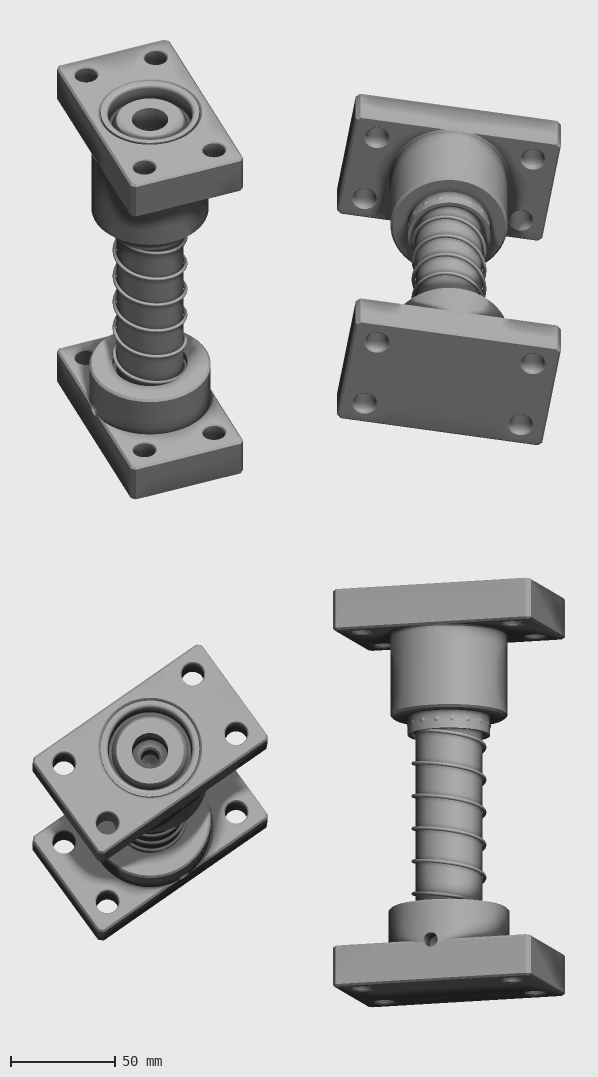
import cadquery as cq
import math

TOTAL_HEIGHT = 194.3
TURN_ANGLE = -35.4

PLATE_LENGTH = 99.9
PLATE_WIDTH = 58.1
PLATE_THICKNESS = 20.0
CORNER_CHAMFER = 2.0
EDGE_CHAMFER = 1.0
BOLT_SPACING_LONG = 76.0
BOLT_SPACING_SHORT = 36.0
BOLT_HOLE_RADIUS = 5.5
BOLT_HOLE_CHAMFER = 0.5
UPPER_PLATE_BOTTOM = TOTAL_HEIGHT - PLATE_THICKNESS

PILLAR_RADIUS = 16.1
PILLAR_TOP = 189.7
HEAD_RADIUS = 18.5
HEAD_HEIGHT = 3.9
HEAD_BOTTOM = PILLAR_TOP - HEAD_HEIGHT
COUNTERBORE_RADIUS = 8.7
COUNTERBORE_DEPTH = 15.5
DRILL_RADIUS = 4.3
DRILL_DEPTH = 11.7
DRILL_MOUTH_CHAMFER = 1.0
DRILL_POINT_ANGLE = 118.0

COLLAR_RADIUS = 29.1
COLLAR_HEIGHT = 19.8
COLLAR_CHAMFER = 1.0
COLLAR_TOP = PLATE_THICKNESS + COLLAR_HEIGHT
SEAT_DEPTH = 1.4
SPRING_RECESS_RADIUS = 18.0
SPRING_RECESS_DEPTH = 3.9
SPRING_RECESS_FLOOR = COLLAR_TOP - SPRING_RECESS_DEPTH

SIDE_HOLE_RADIUS = 3.5
SIDE_HOLE_DEPTH = 9.7

BUSHING_RADIUS = 28.2
BUSHING_BOTTOM = 133.9
BUSHING_BORE_RADIUS = 20.2
BUSHING_CHAMFER = 1.2
SPIGOT_RADIUS = 23.7
SPIGOT_SEAT_CHAMFER = SEAT_DEPTH
BORE_ROUNDING = 1.7
SHOULDER_FLARE = 0.8

CAGE_RADIUS = 19.8
CAGE_BOTTOM = 125.1
SPRING_POCKET_DEPTH = 2.0
SPRING_POCKET_ROOF = CAGE_BOTTOM + SPRING_POCKET_DEPTH
BALL_ROW_HEIGHT = 129.8
BALL_COUNT = 16
BALL_RADIUS = (BUSHING_BORE_RADIUS - PILLAR_RADIUS) / 2
BALL_PITCH_RADIUS = PILLAR_RADIUS + BALL_RADIUS

WIRE_RADIUS = 0.87
COIL_RADIUS = 17.1
SPRING_END_GAP = 0.2
COIL_PITCH = 16.0
COIL_LAST_CROSSING = 118.5


def disc(radius, bottom, top):
    return cq.Workplane("XY").workplane(offset=bottom).circle(radius).extrude(top - bottom)


def revolved(points):
    """Revolve a closed (radius, height) outline about the vertical axis."""
    return cq.Workplane("XZ").polyline(points).close().revolve(360, (0, 0), (0, 1))


def drill_point_length(radius):
    return radius / math.tan(math.radians(DRILL_POINT_ANGLE / 2))


def turned(body):
    return body.rotate((0, 0, 0), (0, 0, 1), TURN_ANGLE)


def mounting_plate(bottom):
    """Rectangular plate with chamfered edges and four chamfered bolt holes."""
    bolt_holes = (
        cq.Workplane("XY")
        .rect(BOLT_SPACING_LONG, BOLT_SPACING_SHORT, forConstruction=True)
        .vertices()
        .circle(BOLT_HOLE_RADIUS)
        .extrude(PLATE_THICKNESS)
    )
    plate = (
        cq.Workplane("XY")
        .rect(PLATE_LENGTH, PLATE_WIDTH)
        .extrude(PLATE_THICKNESS)
        .edges("|Z")
        .chamfer(CORNER_CHAMFER)
        .faces("<Z or >Z")
        .chamfer(EDGE_CHAMFER)
        .cut(bolt_holes)
        .edges("%CIRCLE")
        .chamfer(BOLT_HOLE_CHAMFER)
    )
    return plate.translate((0, 0, bottom))


def side_hole():
    """Drilled hole with a pointed end, running inward from the long side of the lower plate."""
    mouth = -COLLAR_RADIUS - SEAT_DEPTH
    floor = -PLATE_WIDTH / 2 + SIDE_HOLE_DEPTH
    tip = floor + drill_point_length(SIDE_HOLE_RADIUS)
    return (
        cq.Workplane("XY")
        .polyline([(0, mouth), (SIDE_HOLE_RADIUS, mouth), (SIDE_HOLE_RADIUS, floor), (0, tip)])
        .close()
        .revolve(360, (0, 0), (0, 1))
        .translate((0, 0, PLATE_THICKNESS))
    )


def make_lower_plate():
    """Plate with a shallow conical seat around the collar."""
    seat_floor = PLATE_THICKNESS - SEAT_DEPTH
    seat = revolved([
        (0, seat_floor),
        (COLLAR_RADIUS, seat_floor),
        (COLLAR_RADIUS + SEAT_DEPTH, PLATE_THICKNESS),
        (0, PLATE_THICKNESS),
    ])
    return mounting_plate(0).cut(seat).cut(side_hole())


def make_collar():
    """Ring around the pillar foot, with a recess for the lower spring end."""
    bottom = PLATE_THICKNESS - SEAT_DEPTH
    return (
        disc(COLLAR_RADIUS, bottom, COLLAR_TOP)
        .faces(">Z")
        .chamfer(COLLAR_CHAMFER)
        .cut(disc(PILLAR_RADIUS, bottom, COLLAR_TOP))
        .cut(disc(SPRING_RECESS_RADIUS, SPRING_RECESS_FLOOR, COLLAR_TOP))
        .cut(side_hole())
    )


def make_pillar():
    """Round pillar with a conical head and a stepped, drilled hole in its top."""
    counterbore_floor = PILLAR_TOP - COUNTERBORE_DEPTH
    drill_end = counterbore_floor - DRILL_DEPTH
    return revolved([
        (0, PLATE_THICKNESS - SEAT_DEPTH),
        (PILLAR_RADIUS, PLATE_THICKNESS - SEAT_DEPTH),
        (PILLAR_RADIUS, HEAD_BOTTOM),
        (HEAD_RADIUS, HEAD_BOTTOM),
        (PILLAR_RADIUS, PILLAR_TOP),
        (COUNTERBORE_RADIUS, PILLAR_TOP),
        (COUNTERBORE_RADIUS, counterbore_floor),
        (DRILL_RADIUS + DRILL_MOUTH_CHAMFER, counterbore_floor),
        (DRILL_RADIUS, counterbore_floor - DRILL_MOUTH_CHAMFER),
        (DRILL_RADIUS, drill_end),
        (0, drill_end - drill_point_length(DRILL_RADIUS)),
    ])


def make_upper_plate():
    """Plate with a through bore for the bushing spigot, chamfered at its top."""
    bore = revolved([
        (0, UPPER_PLATE_BOTTOM),
        (SPIGOT_RADIUS, UPPER_PLATE_BOTTOM),
        (SPIGOT_RADIUS, TOTAL_HEIGHT - SPIGOT_SEAT_CHAMFER),
        (SPIGOT_RADIUS + SPIGOT_SEAT_CHAMFER, TOTAL_HEIGHT),
        (0, TOTAL_HEIGHT),
    ])
    return mounting_plate(UPPER_PLATE_BOTTOM).cut(bore)


def make_bushing():
    """Sleeve with a spigot in the upper plate and a flared shoulder under it."""
    outside = revolved([
        (0, BUSHING_BOTTOM),
        (BUSHING_RADIUS - BUSHING_CHAMFER, BUSHING_BOTTOM),
        (BUSHING_RADIUS, BUSHING_BOTTOM + BUSHING_CHAMFER),
        (BUSHING_RADIUS, UPPER_PLATE_BOTTOM - SHOULDER_FLARE),
        (BUSHING_RADIUS + SHOULDER_FLARE, UPPER_PLATE_BOTTOM),
        (SPIGOT_RADIUS, UPPER_PLATE_BOTTOM),
        (SPIGOT_RADIUS, TOTAL_HEIGHT),
        (0, TOTAL_HEIGHT),
    ])
    bore = disc(BUSHING_BORE_RADIUS, BUSHING_BOTTOM, TOTAL_HEIGHT)
    bore_rim = cq.selectors.RadiusNthSelector(0)
    return outside.cut(bore).faces(">Z").edges(bore_rim).fillet(BORE_ROUNDING)


def make_ball_cage():
    """Sleeve around the pillar with one row of captive balls and a pocket for the upper spring end."""
    cage = (
        disc(CAGE_RADIUS, CAGE_BOTTOM, HEAD_BOTTOM)
        .cut(disc(PILLAR_RADIUS, CAGE_BOTTOM, HEAD_BOTTOM))
        .cut(disc(SPRING_RECESS_RADIUS, CAGE_BOTTOM, SPRING_POCKET_ROOF))
    )
    balls = (
        cq.Workplane("XY")
        .workplane(offset=BALL_ROW_HEIGHT)
        .polarArray(BALL_PITCH_RADIUS, 0, 360, BALL_COUNT)
        .sphere(BALL_RADIUS)
    )
    return cage.union(balls)


def make_spring():
    """Round-wire coil from the floor of the collar recess to the roof of the cage pocket."""
    start = SPRING_RECESS_FLOOR + WIRE_RADIUS + SPRING_END_GAP
    length = SPRING_POCKET_ROOF - WIRE_RADIUS - SPRING_END_GAP - start
    start_angle = 360 * (COIL_LAST_CROSSING - start) / COIL_PITCH
    coil_path = cq.Workplane(cq.Wire.makeHelix(COIL_PITCH, length, COIL_RADIUS, lefthand=True))
    return (
        cq.Workplane("XZ")
        .center(COIL_RADIUS, 0)
        .circle(WIRE_RADIUS)
        .sweep(coil_path, isFrenet=True)
        .rotate((0, 0, 0), (0, 0, 1), start_angle)
        .translate((0, 0, start))
    )


lower_plate = turned(make_lower_plate())
collar = turned(make_collar())
pillar = turned(make_pillar())
upper_plate = turned(make_upper_plate())
bushing = turned(make_bushing())
ball_cage = turned(make_ball_cage())
spring = make_spring()

bodies = [lower_plate, collar, pillar, upper_plate, bushing, ball_cage, spring]
result = cq.Compound.makeCompound([body.solids().val() for body in bodies])